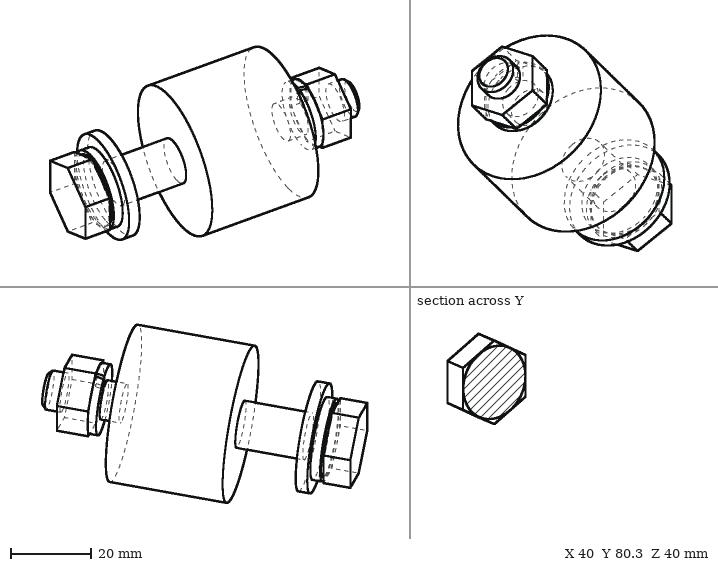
import cadquery as cq
import math

BODY_DIAMETER = 40.0
BODY_LENGTH = 30.0

BOLT_DIAMETER = 12.0
BOLT_EXPOSED_LENGTH = 17.32
BOLT_HEAD_ACROSS_FLATS = 19.0
BOLT_HEAD_LENGTH = 6.9
HEAD_COLLAR_DIAMETER = 19.0
HEAD_COLLAR_THICKNESS = 0.6
PLAIN_WASHER_DIAMETER = 28.0
PLAIN_WASHER_THICKNESS = 3.0
BOLT_LOCK_WASHER_DIAMETER = 21.1
BOLT_LOCK_WASHER_THICKNESS = 2.5

STUD_DIAMETER = 10.0
STUD_EXPOSED_LENGTH = 5.0
STUD_TIP_LENGTH = 4.8
STUD_TIP_CHAMFER = 1.0
NUT_ACROSS_FLATS = 17.0
NUT_LENGTH = 8.0
NUT_LOCK_WASHER_DIAMETER = 18.1
NUT_LOCK_WASHER_THICKNESS = 2.2
SPLIT_WIDTH = 1.0
SPLIT_LEAN = 0.4

BODY_END_Y = BODY_LENGTH
NUT_LOCK_WASHER_Y = BODY_END_Y + STUD_EXPOSED_LENGTH
NUT_Y = NUT_LOCK_WASHER_Y + NUT_LOCK_WASHER_THICKNESS
NUT_END_Y = NUT_Y + NUT_LENGTH
STUD_END_Y = NUT_END_Y + STUD_TIP_LENGTH

PLAIN_WASHER_Y = -BOLT_EXPOSED_LENGTH - PLAIN_WASHER_THICKNESS
BOLT_LOCK_WASHER_Y = PLAIN_WASHER_Y - BOLT_LOCK_WASHER_THICKNESS
HEAD_COLLAR_Y = BOLT_LOCK_WASHER_Y - HEAD_COLLAR_THICKNESS
BOLT_HEAD_Y = HEAD_COLLAR_Y - BOLT_HEAD_LENGTH


def section_plane(y):
    """Plane across the axis at station y: normal along +Y, local X along +Z."""
    return cq.Workplane(cq.Plane(origin=(0, y, 0), xDir=(0, 0, 1), normal=(0, 1, 0)))


def disc(y, diameter, length):
    return section_plane(y).circle(diameter / 2).extrude(length)


def hexagon(y, across_flats, length):
    """Hexagonal prism with two corners pointing along +Z and -Z."""
    across_corners = across_flats / math.cos(math.radians(30))
    return section_plane(y).polygon(6, across_corners).extrude(length)


def split_lock_washer():
    """Lock washer under the nut, with a slightly leaning split at +Z."""
    washer = disc(NUT_LOCK_WASHER_Y, NUT_LOCK_WASHER_DIAMETER, NUT_LOCK_WASHER_THICKNESS)
    half_width = SPLIT_WIDTH / 2
    half_lean = SPLIT_LEAN / 2
    split = (
        cq.Workplane("XY")
        .polyline([
            (-half_width - half_lean, NUT_LOCK_WASHER_Y),
            (half_width - half_lean, NUT_LOCK_WASHER_Y),
            (half_width + half_lean, NUT_Y),
            (-half_width + half_lean, NUT_Y),
        ])
        .close()
        .extrude(NUT_LOCK_WASHER_DIAMETER)
    )
    return washer.cut(split)


def stud_side():
    stud = disc(BODY_END_Y, STUD_DIAMETER, STUD_END_Y - BODY_END_Y)
    stud = stud.faces(">Y").chamfer(STUD_TIP_CHAMFER)
    nut = hexagon(NUT_Y, NUT_ACROSS_FLATS, NUT_LENGTH)
    return split_lock_washer().union(stud).union(nut)


def bolt_side():
    shank = disc(-BOLT_EXPOSED_LENGTH, BOLT_DIAMETER, BOLT_EXPOSED_LENGTH)
    plain_washer = disc(PLAIN_WASHER_Y, PLAIN_WASHER_DIAMETER, PLAIN_WASHER_THICKNESS)
    lock_washer = disc(BOLT_LOCK_WASHER_Y, BOLT_LOCK_WASHER_DIAMETER, BOLT_LOCK_WASHER_THICKNESS)
    collar = disc(HEAD_COLLAR_Y, HEAD_COLLAR_DIAMETER, HEAD_COLLAR_THICKNESS)
    head = hexagon(BOLT_HEAD_Y, BOLT_HEAD_ACROSS_FLATS, BOLT_HEAD_LENGTH)
    return shank.union(plain_washer).union(lock_washer).union(collar).union(head)


body = disc(0, BODY_DIAMETER, BODY_LENGTH)
result = body.union(stud_side()).union(bolt_side())